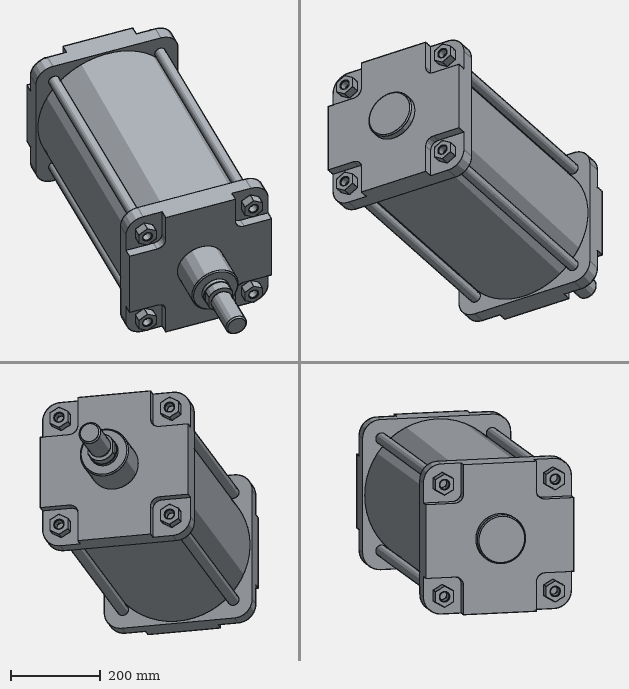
import cadquery as cq
import math

TOTAL_LENGTH = 852.0
REAR_BOSS_LENGTH = 17.0
HEAD_THICKNESS = 54.5
BARREL_LENGTH = 509.0
FRONT_BOSS_LENGTH = 89.5

REAR_FACE = REAR_BOSS_LENGTH
BARREL_START = REAR_FACE + HEAD_THICKNESS
BARREL_END = BARREL_START + BARREL_LENGTH
FRONT_FACE = BARREL_END + HEAD_THICKNESS
FRONT_BOSS_END = FRONT_FACE + FRONT_BOSS_LENGTH

HEAD_WIDTH = 340.0
HEAD_CORNER_RADIUS = 41.0
POCKET_DEPTH = 21.0
POCKET_OFFSET = 83.5
POCKET_RADIUS = 20.5
BOSS_RADIUS = 55.0
BOSS_CHAMFER = 3.0

BARREL_RADIUS = 165.0

TIE_OFFSET = 127.0
TIE_RADIUS = 13.0
HEX_SIDES = 6
NUT_ACROSS_FLATS = 42.0
NUT_HOLE_RADIUS = 10.0
NUT_HOLE_CHAMFER = 2.0

ROD_RADIUS = 32.0
COLLAR_LENGTH = 10.0
FLATS_LENGTH = 21.0
FLATS_WIDTH = 56.0
COLLAR_CHAMFER = 1.0
FLATS_RADIUS = ROD_RADIUS - COLLAR_CHAMFER
NECK_LENGTH = 4.0
NECK_RADIUS = 21.0
THREAD_RADIUS = 25.0
THREAD_CHAMFER = 3.0

FLATS_START = FRONT_BOSS_END + COLLAR_LENGTH
FLATS_END = FLATS_START + FLATS_LENGTH
THREAD_START = FLATS_END + NECK_LENGTH

CORNER_SIGNS = [(y, z) for y in (-1, 1) for z in (-1, 1)]


def cylinder(radius, start, end, y=0.0, z=0.0):
    """Round bar parallel to X, from x = start to x = end."""
    return cq.Workplane("YZ", origin=(start, y, z)).circle(radius).extrude(end - start)


def make_head(start, pocket_start):
    """Square plate with pocketed corners and a hole for each tie rod."""
    plane = cq.Workplane("YZ", origin=(start, 0, 0))
    head = plane.rect(HEAD_WIDTH, HEAD_WIDTH).extrude(HEAD_THICKNESS)
    head = head.edges("|X").fillet(HEAD_CORNER_RADIUS)

    pocket_width = HEAD_WIDTH / 2
    pocket_center = POCKET_OFFSET + pocket_width / 2
    for y_sign, z_sign in CORNER_SIGNS:
        pocket = (
            cq.Workplane("YZ", origin=(pocket_start, y_sign * pocket_center, z_sign * pocket_center))
            .rect(pocket_width, pocket_width)
            .extrude(POCKET_DEPTH)
            .edges("|X")
            .fillet(POCKET_RADIUS)
        )
        hole = cylinder(TIE_RADIUS, start, start + HEAD_THICKNESS, y_sign * TIE_OFFSET, z_sign * TIE_OFFSET)
        head = head.cut(pocket).cut(hole)
    return head


def make_rear_head():
    """Rear head with a short closed boss."""
    boss = cylinder(BOSS_RADIUS, 0, REAR_FACE).faces("<X").chamfer(BOSS_CHAMFER)
    return make_head(REAR_FACE, REAR_FACE).union(boss)


def make_front_head():
    """Front head with a long boss, bored right through for the piston rod."""
    boss = cylinder(BOSS_RADIUS, FRONT_FACE, FRONT_BOSS_END).faces(">X").chamfer(BOSS_CHAMFER)
    rod_bore = cylinder(ROD_RADIUS, BARREL_END, FRONT_BOSS_END)
    return make_head(BARREL_END, FRONT_FACE - POCKET_DEPTH).union(boss).cut(rod_bore)


def make_barrel():
    """Plain round barrel held between the two heads."""
    return cylinder(BARREL_RADIUS, BARREL_START, BARREL_END)


def make_nut(start, outer_face, y, z):
    """Hexagonal nut with two flats facing Y and a chamfered hole in its outer face."""
    hexagon = cq.Sketch().regularPolygon(NUT_ACROSS_FLATS / math.sqrt(3), HEX_SIDES)
    nut = cq.Workplane("YZ", origin=(start, y, z)).placeSketch(hexagon).extrude(POCKET_DEPTH)
    nut = nut.cut(cylinder(NUT_HOLE_RADIUS, start, start + POCKET_DEPTH, y, z))
    return nut.faces(outer_face).edges("%CIRCLE").chamfer(NUT_HOLE_CHAMFER)


def make_tie_rod(y, z):
    """Bar through both heads with a nut seated in a corner pocket at each end."""
    bar_start = REAR_FACE + POCKET_DEPTH
    bar_end = FRONT_FACE - POCKET_DEPTH
    bar = cylinder(TIE_RADIUS, bar_start, bar_end, y, z)
    return bar.union(make_nut(REAR_FACE, "<X", y, z)).union(make_nut(bar_end, ">X", y, z))


def make_piston_rod():
    """Rod that passes through the front head, with wrench flats, a neck and a threaded end."""
    collar = cylinder(ROD_RADIUS, BARREL_END, FLATS_START).faces(">X").chamfer(COLLAR_CHAMFER)
    flats_center = (FLATS_START + FLATS_END) / 2
    flats_band = cylinder(FLATS_RADIUS, FLATS_START, FLATS_END)
    kept_core = cq.Workplane("XY", origin=(flats_center, 0, 0)).box(FLATS_LENGTH, FLATS_WIDTH, 2 * ROD_RADIUS)
    neck = cylinder(NECK_RADIUS, FLATS_END, THREAD_START)
    thread = cylinder(THREAD_RADIUS, THREAD_START, TOTAL_LENGTH).faces(">X").chamfer(THREAD_CHAMFER)
    return collar.union(flats_band.intersect(kept_core)).union(neck).union(thread)


rear_head = make_rear_head()
front_head = make_front_head()
barrel = make_barrel()
piston_rod = make_piston_rod()
tie_rods = [make_tie_rod(y_sign * TIE_OFFSET, z_sign * TIE_OFFSET) for y_sign, z_sign in CORNER_SIGNS]

result = cq.Compound.makeCompound(
    [
        rear_head.val(),
        front_head.val(),
        barrel.val(),
        piston_rod.val(),
        *[tie_rod.val() for tie_rod in tie_rods],
    ]
)